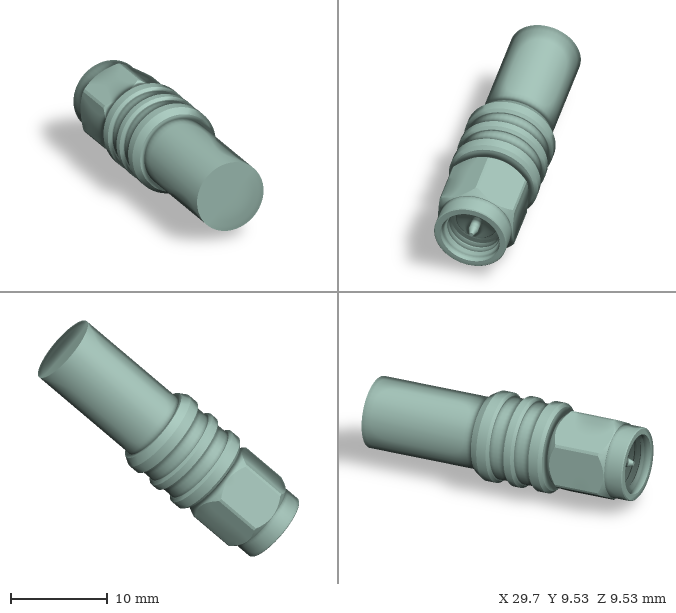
import cadquery as cq
import math


sleeve_radius = 3.88
sleeve_length = 2.0
sleeve_chamfer = 0.1
hex_across_flats = 8.0
hex_corner_radius = 4.53
hex_bevel_front = 2.7
hex_bevel_rear = 7.62
bevel_angle = math.radians(40)
nut_length = 8.6
rear_rim_start = nut_length - 0.22
rear_rim_chamfer = 0.18

thread_pitch = 25.4 / 36
thread_minor_radius = 2.77
thread_major_radius = 3.17
thread_half_width = 0.27
thread_overcut = 0.01
thread_start = 0.66
thread_end = 4.6
counterbore_depth = 0.74
lead_in_length = 0.4

shoulder_start = 5.0
neck_radius = 3.09
flange_start = 8.88
flange_chamfer = 0.34
rib_radius = 9.53 / 2
groove_radius = 4.335
rib_chamfer = 0.28
grooves = [(10.55, 12.06), (13.38, 14.86)]
rear_taper_start = 16.21
rear_taper_end = 17.04
rear_taper_angle = math.radians(30)
ferrule_radius = 3.8
overall_length = 29.74

plug_face = 2.6
plug_radius = 2.24
plug_chamfer = 0.1
pin_recess_radius = 0.6
pin_recess_depth = 0.5
pin_radius = 0.5
pin_tip_radius = 0.22
pin_tip = 0.5
pin_shoulder = 1.27


def revolve_about_x(points):
    """Solid of revolution from (x, radius) points; the outline is closed along the X axis."""
    outline = [(points[0][0], 0), *points, (points[-1][0], 0)]
    return cq.Workplane("XZ").polyline(outline).close().revolve(360, (0, 0, 0), (1, 0, 0))


def nut_blank():
    """Round sleeve followed by a hexagon whose ends and corners are turned down."""
    bevel_slope = math.tan(bevel_angle)
    front_bevel_radius = hex_corner_radius - (hex_bevel_front - sleeve_length) * bevel_slope
    rear_bevel_end = hex_bevel_rear + (hex_corner_radius - sleeve_radius) / bevel_slope
    turned_outline = revolve_about_x([
        (0, sleeve_radius - sleeve_chamfer),
        (sleeve_chamfer, sleeve_radius),
        (sleeve_length, sleeve_radius),
        (sleeve_length, front_bevel_radius),
        (hex_bevel_front, hex_corner_radius),
        (hex_bevel_rear, hex_corner_radius),
        (rear_bevel_end, sleeve_radius),
        (rear_rim_start, sleeve_radius),
        (nut_length, sleeve_radius - rear_rim_chamfer),
    ])
    hex_bar = (
        cq.Workplane("YZ")
        .polygon(6, hex_across_flats / math.cos(math.pi / 6))
        .extrude(nut_length)
        .rotate((0, 0, 0), (1, 0, 0), 90)
    )
    return turned_outline.intersect(hex_bar)


def nut_bore():
    """Counterbore, lead-in cone and threaded bore, then a wider bore that fits the body's neck."""
    return revolve_about_x([
        (0, thread_major_radius),
        (counterbore_depth, thread_major_radius),
        (counterbore_depth + lead_in_length, thread_minor_radius),
        (shoulder_start, thread_minor_radius),
        (shoulder_start, neck_radius),
        (nut_length, neck_radius),
    ])


def thread_groove():
    """Sharp V groove along a right-handed helix that starts at the bottom of the bore."""
    flank_slope = thread_half_width / (thread_major_radius - thread_minor_radius)
    open_radius = thread_minor_radius - thread_overcut
    open_half_width = (thread_major_radius - open_radius) * flank_slope
    helix = cq.Wire.makeHelix(thread_pitch, thread_end - thread_start, thread_minor_radius)
    groove = (
        cq.Workplane("XZ")
        .polyline([
            (open_radius, -open_half_width),
            (thread_major_radius, 0),
            (open_radius, open_half_width),
        ])
        .close()
        .sweep(cq.Workplane(helix), isFrenet=True)
    )
    return groove.rotate((0, 0, 0), (0, 1, 0), 90).translate((thread_start, 0, 0))


def coupling_nut():
    return nut_blank().cut(nut_bore()).cut(thread_groove())


def connector_body():
    """Plug, neck, ribbed grip and ferrule turned in one piece with the contact pin."""
    outline = [
        (plug_face, plug_radius - plug_chamfer),
        (plug_face + plug_chamfer, plug_radius),
        (shoulder_start, plug_radius),
        (shoulder_start, neck_radius),
        (flange_start, neck_radius),
        (flange_start, rib_radius - flange_chamfer),
        (flange_start + flange_chamfer, rib_radius),
    ]
    for groove_start, groove_end in grooves:
        outline += [
            (groove_start - rib_chamfer, rib_radius),
            (groove_start, rib_radius - rib_chamfer),
            (groove_start, groove_radius),
            (groove_end, groove_radius),
            (groove_end, rib_radius - rib_chamfer),
            (groove_end + rib_chamfer, rib_radius),
        ]
    rear_taper_drop = (rear_taper_end - rear_taper_start) * math.tan(rear_taper_angle)
    outline += [
        (rear_taper_start, rib_radius),
        (rear_taper_end, rib_radius - rear_taper_drop),
        (rear_taper_end, ferrule_radius),
        (overall_length, ferrule_radius),
    ]
    recess_floor = plug_face + pin_recess_depth
    recess = revolve_about_x([(plug_face, pin_recess_radius), (recess_floor, pin_recess_radius)])
    pin = revolve_about_x([
        (pin_tip, pin_tip_radius),
        (pin_shoulder, pin_radius),
        (shoulder_start, pin_radius),
    ])
    return revolve_about_x(outline).cut(recess).union(pin)


nut = coupling_nut()
body = connector_body()
result = cq.Compound.makeCompound([nut.val(), body.val()])